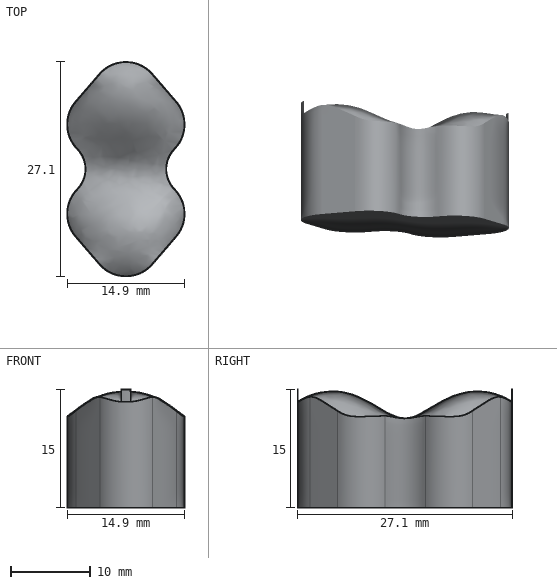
import cadquery as cq
import math

tip_y = 13.56
widest_x = 7.43
waist_x = 5.12
corner_radius = 4.4
lobe_y = 5.65
flank_angle = 49.2
total_height = 15.0

peak_y = 9.12
peak_z = 14.76
valley_z = 11.33
valley_radius = 3.7
slope_angle = math.radians(29.5)

crown_half_width = 8.0
middle_drop = 0.05
crown_drops = [
    (1.5, 0.3),
    (2.8, 1.15),
    (5.75, 2.9),
    (8.5, 4.4),
    (10.0, 4.4),
    (11.0, 2.8),
    (12.1, 0.9),
    (13.1, 0.2),
    (13.9, 0.1),
]
base_margin = 1.0

tab_width = 1.25
tab_thickness = 0.04


def outline_points():
    """Tangent points of the +X, +Y quarter: waist to lobe, lobe to flank, flank to tip."""
    flank_normal = math.radians(90 - flank_angle)
    normal_x = math.cos(flank_normal)
    normal_y = math.sin(flank_normal)

    lobe_x = widest_x - corner_radius
    flank_start = (lobe_x + corner_radius * normal_x, lobe_y + corner_radius * normal_y)
    tip_center_y = tip_y - corner_radius
    flank_end = (corner_radius * normal_x, tip_center_y + corner_radius * normal_y)

    gap_x = waist_x - lobe_x
    waist_radius = (gap_x**2 + lobe_y**2 - corner_radius**2) / (2 * (corner_radius - gap_x))
    lobe_share = corner_radius / (corner_radius + waist_radius)
    waist_end = (
        lobe_x + (gap_x + waist_radius) * lobe_share,
        lobe_y * (1 - lobe_share),
    )
    return waist_end, flank_start, flank_end


def make_prism():
    (wx, wy), (sx, sy), (ex, ey) = outline_points()
    return (
        cq.Workplane("XY")
        .moveTo(wx, -wy)
        .threePointArc((waist_x, 0), (wx, wy))
        .threePointArc((widest_x, lobe_y), (sx, sy))
        .lineTo(ex, ey)
        .threePointArc((0, tip_y), (-ex, ey))
        .lineTo(-sx, sy)
        .threePointArc((-widest_x, lobe_y), (-wx, wy))
        .threePointArc((-waist_x, 0), (-wx, -wy))
        .threePointArc((-widest_x, -lobe_y), (-sx, -sy))
        .lineTo(-ex, -ey)
        .threePointArc((0, -tip_y), (ex, -ey))
        .lineTo(sx, -sy)
        .threePointArc((widest_x, -lobe_y), (wx, -wy))
        .close()
        .extrude(total_height)
    )


def crest_height(y):
    """Valley arc, straight slope and peak arc, tangent to each other."""
    distance = abs(y)
    sine = math.sin(slope_angle)
    cosine = math.cos(slope_angle)
    rise = peak_z - valley_z
    radius_sum = (peak_y * sine - rise * cosine) / (1 - cosine)
    peak_radius = radius_sum - valley_radius
    valley_end = valley_radius * sine
    if distance < valley_end:
        return valley_z + valley_radius - math.sqrt(valley_radius**2 - distance**2)
    if distance < peak_y - peak_radius * sine:
        valley_end_z = valley_z + valley_radius * (1 - cosine)
        return valley_end_z + (distance - valley_end) * math.tan(slope_angle)
    return peak_z - peak_radius + math.sqrt(peak_radius**2 - (distance - peak_y) ** 2)


def crown_section(y, drop):
    """Cross-section at one Y: flat below, a crown arc above."""
    crest_z = crest_height(y)
    side_z = crest_z - drop
    return (
        cq.Workplane("XZ", origin=(0, y, 0))
        .moveTo(-crown_half_width, -base_margin)
        .lineTo(crown_half_width, -base_margin)
        .lineTo(crown_half_width, side_z)
        .threePointArc((0, crest_z), (-crown_half_width, side_z))
        .close()
        .wire()
        .val()
    )


def make_crowned_body():
    front = [(-y, drop) for y, drop in reversed(crown_drops)]
    stations = front + [(0, middle_drop)] + crown_drops
    sections = [crown_section(y, drop) for y, drop in stations]
    return cq.Workplane(obj=cq.Solid.makeLoft(sections))


def make_tabs(prism):
    """The outermost slivers of the full-height prism at both tips."""
    tab_zone = (
        cq.Workplane("XY")
        .pushPoints([(0, -tip_y), (0, tip_y)])
        .rect(tab_width, 2 * tab_thickness)
        .extrude(total_height)
    )
    return prism.intersect(tab_zone)


prism = make_prism()
result = prism.intersect(make_crowned_body()).union(make_tabs(prism))